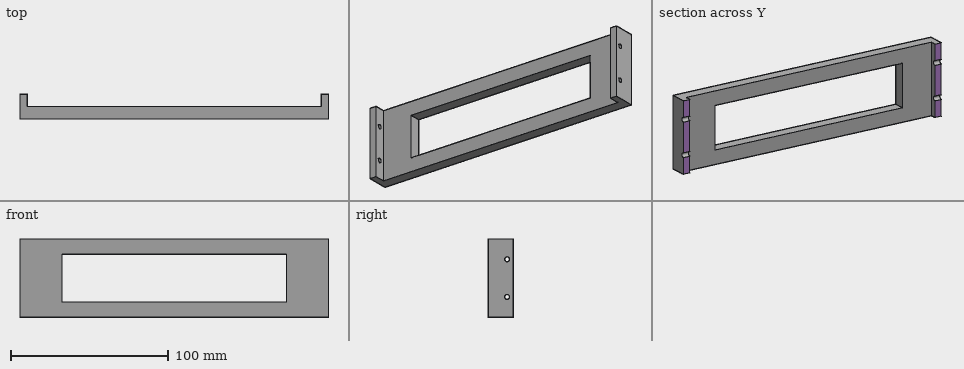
import cadquery as cq

length = 196.5
depth = 16.0
height = 50.0

plate_thickness = 8.0
flange_thickness = 5.0

window_length = 142.7
window_height = 30.0

hole_diameter = 3.0
hole_spacing = 24.0
hole_setback = 4.0


def make_channel():
    """Plate with a flange at each end, centred on X and Z, front face at Y = 0."""
    block = cq.Workplane("XY").box(length, depth, height, centered=(True, False, True))
    recess = (
        cq.Workplane("XY")
        .box(length - 2 * flange_thickness, depth - plate_thickness, height, centered=(True, False, True))
        .translate((0, plate_thickness, 0))
    )
    return block.cut(recess)


def make_window():
    return cq.Workplane("XY").box(window_length, plate_thickness, window_height, centered=(True, False, True))


def make_screw_holes():
    """Two cylinders along X that pass through both flanges."""
    hole_y = depth - hole_setback
    return (
        cq.Workplane("YZ")
        .pushPoints([(hole_y, -hole_spacing / 2), (hole_y, hole_spacing / 2)])
        .circle(hole_diameter / 2)
        .extrude(length / 2, both=True)
    )


result = make_channel().cut(make_window()).cut(make_screw_holes())